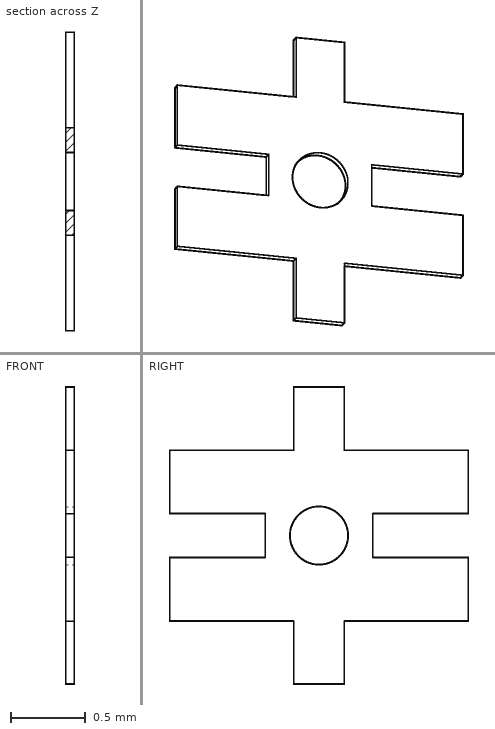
import cadquery as cq

thickness = 0.06
span_y = 2.0
span_z = 1.99

body_height = 1.145
tab_width = 0.34
notch_gap = 0.292
web_width = 0.72
hole_diameter = 0.388

notch_depth = (span_y - web_width) / 2
notch_offset = (web_width + notch_depth) / 2


def block(width, height, offset_y=0.0):
    """Flat block of full plate thickness, centred at offset_y."""
    return cq.Workplane("XY").box(thickness, width, height).translate((0, offset_y, 0))


plate = block(span_y, body_height).union(block(tab_width, span_z))

for side in (-1, 1):
    plate = plate.cut(block(notch_depth, notch_gap, side * notch_offset))

hole = cq.Workplane("YZ").circle(hole_diameter / 2).extrude(thickness, both=True)

result = plate.cut(hole)